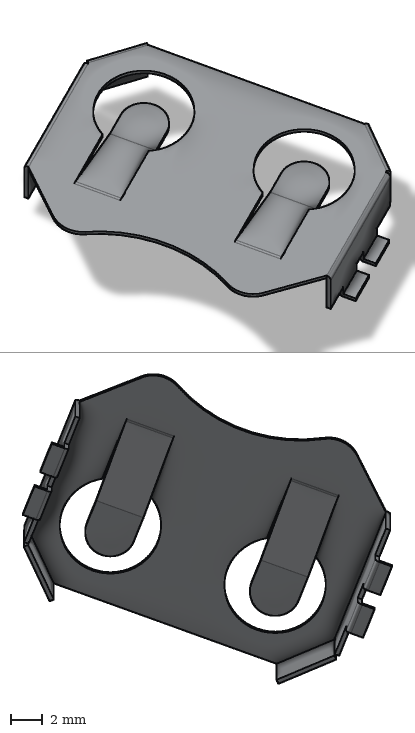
import cadquery as cq
import math

sheet = 0.3

plate_half_width = 10.29
back_edge_y = 4.85
corner_y = 2.03
back_corner_x = plate_half_width - (back_edge_y - corner_y)
wall_front_y = -7.02
front_side_angle = 43.5
cutout_radius = 10.0
cutout_top_y = -8.9
lobe_radius = 2.0

wall_back_y = 1.95
wall_height = 3.31
total_height = 4.32
foot_reach = 11.43
foot_width = 2.03
foot_pitch = 3.05
foot_mid_y = -2.58

hole_x = 5.53
hole_radius = 3.18
tongue_radius = hole_radius / 2
tongue_fold_y = -1.65
tongue_drop = 1.25
root_bend_tangent = 0.103


def mirrored(solid):
    """Join a solid on the +X side with its reflection on the -X side."""
    return solid.union(solid.mirror("YZ"))


def make_plate():
    front_y = cutout_top_y - cutout_radius / 2
    front_x = plate_half_width - (wall_front_y - front_y) / math.tan(math.radians(front_side_angle))
    half = [
        (back_corner_x, back_edge_y),
        (plate_half_width, corner_y),
        (plate_half_width, wall_front_y),
        (front_x, front_y),
    ]
    outline = half + [(-x, y) for x, y in reversed(half)]
    plate = cq.Workplane("XY").polyline(outline).close().extrude(-sheet)
    cutout = (
        cq.Workplane("XY")
        .center(0, cutout_top_y - cutout_radius)
        .circle(cutout_radius)
        .extrude(-sheet)
    )
    plate = plate.cut(cutout)
    return plate.edges("|Z").edges("<Y").fillet(lobe_radius)


def make_flange(start, end):
    """Wall folded down along a plate edge, running clockwise from start to end."""
    run_x = end[0] - start[0]
    run_y = end[1] - start[1]
    edge_plane = cq.Plane(
        origin=(start[0], start[1], 0),
        xDir=(-run_y, run_x, 0),
        normal=(run_x, run_y, 0),
    )
    return (
        cq.Workplane(edge_plane)
        .lineTo(0, -wall_height)
        .lineTo(sheet, -wall_height)
        .lineTo(sheet, -sheet)
        .radiusArc((0, 0), -sheet)
        .close()
        .extrude(math.hypot(run_x, run_y))
    )


def make_foot(mid_y):
    """Leg below the side wall, turned outwards into a flat foot."""
    inner_x = plate_half_width
    outer_x = inner_x + sheet
    return (
        cq.Workplane("XZ", origin=(0, mid_y + foot_width / 2, 0))
        .moveTo(inner_x, -wall_height)
        .lineTo(outer_x, -wall_height)
        .lineTo(outer_x, sheet - total_height)
        .lineTo(foot_reach, sheet - total_height)
        .lineTo(foot_reach, -total_height)
        .lineTo(outer_x, -total_height)
        .radiusArc((inner_x, sheet - total_height), sheet)
        .close()
        .extrude(foot_width)
    )


def tongue_area(depth):
    """Round-ended tongue footprint, extruded down from the plate top."""
    return (
        cq.Workplane("XY")
        .moveTo(hole_x - tongue_radius, wall_front_y)
        .lineTo(hole_x + tongue_radius, wall_front_y)
        .lineTo(hole_x + tongue_radius, 0)
        .threePointArc((hole_x, tongue_radius), (hole_x - tongue_radius, 0))
        .close()
        .extrude(-depth)
    )


def make_tongue():
    """Tongue bent down at its root, sloping to a flat round end."""
    slope_run = tongue_fold_y - wall_front_y - root_bend_tangent
    slope = math.atan(tongue_drop / slope_run)
    top_radius = root_bend_tangent / math.tan(slope / 2)
    bottom_radius = top_radius - sheet

    def on_bend(radius, angle):
        return (wall_front_y + radius * math.sin(angle), radius * math.cos(angle) - top_radius)

    bottom_fold_y = tongue_fold_y - sheet * math.tan(slope / 2)
    profile = (
        cq.Workplane("YZ", origin=(hole_x - tongue_radius, 0, 0))
        .moveTo(wall_front_y, 0)
        .threePointArc(on_bend(top_radius, slope / 2), on_bend(top_radius, slope))
        .lineTo(tongue_fold_y, -tongue_drop)
        .lineTo(tongue_radius, -tongue_drop)
        .lineTo(tongue_radius, -tongue_drop - sheet)
        .lineTo(bottom_fold_y, -tongue_drop - sheet)
        .lineTo(*on_bend(bottom_radius, slope))
        .threePointArc(on_bend(bottom_radius, slope / 2), on_bend(bottom_radius, 0))
        .close()
        .extrude(2 * tongue_radius)
    )
    return profile.intersect(tongue_area(tongue_drop + sheet))


opening = cq.Workplane("XY").center(hole_x, 0).circle(hole_radius).extrude(-sheet)
opening = opening.union(tongue_area(sheet))
result = make_plate().cut(mirrored(opening))

side_wall = make_flange((plate_half_width, wall_back_y), (plate_half_width, wall_front_y))
corner_wall = make_flange((back_corner_x, back_edge_y), (plate_half_width, corner_y))
result = result.union(mirrored(side_wall)).union(mirrored(corner_wall))

for side in (-1, 1):
    result = result.union(mirrored(make_foot(foot_mid_y + side * foot_pitch / 2)))

result = result.union(mirrored(make_tongue()))